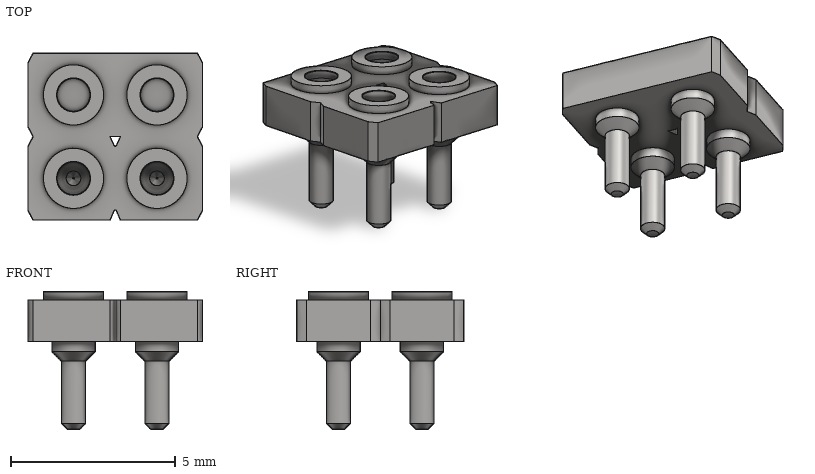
import cadquery as cq
import math

HOUSING_X = 5.31
HOUSING_Y = 5.08
HOUSING_HEIGHT = 1.27

CUT_X = 0.155
CUT_Y = 0.29
SLOT_TIP_WIDTH = 0.07
SLOT_TIP_ROUNDING = 0.025
EDGE_SLOT_DEPTH = 0.31

PIN_PITCH = 2.54
COLLAR_DIAMETER = 1.83
COLLAR_HEIGHT = 0.25
BARREL_DIAMETER = 1.32
BARREL_DROP = 0.305
TAIL_DIAMETER = 0.74
TIP_DIAMETER = 0.365
OVERALL_HEIGHT = 4.19

BORE_DIAMETER = 1.0
MOUTH_CHAMFER = 0.015
SHALLOW_BORE_DEPTH = COLLAR_HEIGHT
DEEP_BORE_DEPTH = 0.53
THROAT_DIAMETER = 0.445
FUNNEL_DEPTH = 0.955
DRILL_POINT_DEPTH = 0.13
DRILL_TIP_DIAMETER = 0.055

PIN_TOP = HOUSING_HEIGHT + COLLAR_HEIGHT
PIN_BOTTOM = PIN_TOP - OVERALL_HEIGHT
PIN_OFFSET = PIN_PITCH / 2


def housing_outline():
    """Rectangle with bevelled corners and a V notch in the middle of each X side."""
    side = HOUSING_X / 2
    end = HOUSING_Y / 2
    right_side = [
        (side - CUT_X, -end),
        (side, CUT_Y - end),
        (side, -CUT_Y),
        (side - CUT_X, 0),
        (side, CUT_Y),
        (side, end - CUT_Y),
        (side - CUT_X, end),
    ]
    left_side = [(-x, y) for x, y in reversed(right_side)]
    return right_side + left_side


def tapered_slot(base_y, tip_y):
    """Through cutter that narrows along Y from base_y to a small rounded tip at tip_y."""
    half_tip = SLOT_TIP_WIDTH / 2
    rounding_y = tip_y - math.copysign(SLOT_TIP_ROUNDING, tip_y - base_y)
    return (
        cq.Workplane("XY")
        .moveTo(-CUT_X, base_y)
        .lineTo(CUT_X, base_y)
        .lineTo(half_tip, rounding_y)
        .threePointArc((0, tip_y), (-half_tip, rounding_y))
        .close()
        .extrude(HOUSING_HEIGHT)
    )


def make_housing(pin_places):
    block = cq.Workplane("XY").polyline(housing_outline()).close().extrude(HOUSING_HEIGHT)
    front = -HOUSING_Y / 2
    block = block.cut(tapered_slot(front, front + EDGE_SLOT_DEPTH))
    block = block.cut(tapered_slot(0, -CUT_Y))
    pin_holes = (
        cq.Workplane("XY")
        .pushPoints(pin_places)
        .circle(BARREL_DIAMETER / 2)
        .extrude(HOUSING_HEIGHT)
    )
    return block.cut(pin_holes)


def bore_wall(depth):
    """Profile of a chamfered bore mouth and the straight wall below it."""
    wall = BORE_DIAMETER / 2
    return [(wall + MOUTH_CHAMFER, PIN_TOP), (wall, PIN_TOP - MOUTH_CHAMFER), (wall, PIN_TOP - depth)]


def shallow_bore():
    """Profile of a shallow bore, from its mouth to the middle of its flat floor."""
    return bore_wall(SHALLOW_BORE_DEPTH) + [(0, PIN_TOP - SHALLOW_BORE_DEPTH)]


def deep_bore():
    """Profile of a deep bore that ends in a funnel and a flatter, blunt drill point."""
    throat = PIN_TOP - DEEP_BORE_DEPTH - FUNNEL_DEPTH
    bottom = throat - DRILL_POINT_DEPTH
    return bore_wall(DEEP_BORE_DEPTH) + [
        (THROAT_DIAMETER / 2, throat),
        (DRILL_TIP_DIAMETER / 2, bottom),
        (0, bottom),
    ]


def make_pin(place, bore_profile):
    """Pin turned about its own axis: 45 degree tip, tail, 45 degree shoulder, barrel, collar."""
    tip = TIP_DIAMETER / 2
    tail = TAIL_DIAMETER / 2
    barrel = BARREL_DIAMETER / 2
    collar = COLLAR_DIAMETER / 2
    outside = [
        (0, PIN_BOTTOM),
        (tip, PIN_BOTTOM),
        (tail, PIN_BOTTOM + tail - tip),
        (tail, -BARREL_DROP - (barrel - tail)),
        (barrel, -BARREL_DROP),
        (barrel, HOUSING_HEIGHT),
        (collar, HOUSING_HEIGHT),
        (collar, PIN_TOP),
    ]
    profile = cq.Workplane("XZ").polyline(outside + bore_profile).close()
    pin = profile.revolve(360, (0, 0, 0), (0, 1, 0))
    return pin.translate((*place, 0))


deep_pin_places = [(x, -PIN_OFFSET) for x in (-PIN_OFFSET, PIN_OFFSET)]
shallow_pin_places = [(x, PIN_OFFSET) for x in (-PIN_OFFSET, PIN_OFFSET)]

housing = make_housing(deep_pin_places + shallow_pin_places)
deep_pins = [make_pin(place, deep_bore()).val() for place in deep_pin_places]
shallow_pins = [make_pin(place, shallow_bore()).val() for place in shallow_pin_places]

result = cq.Compound.makeCompound([housing.val(), *deep_pins, *shallow_pins])